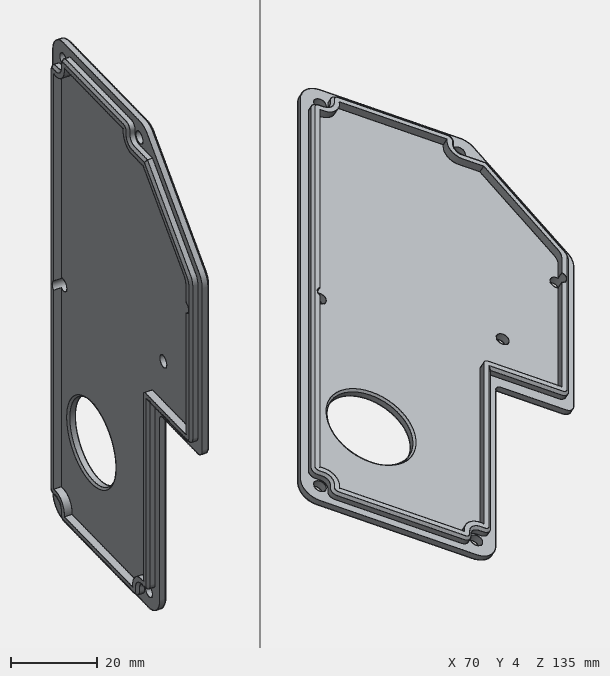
import cadquery as cq
import math

WIDTH = 70.0
HEIGHT = 135.0
THICKNESS = 4.0

FLANGE_THICKNESS = 2.0
BACK_CHAMFER = 0.5
CORNER_RADIUS = 5.0
STEP_X = 50.1
STEP_Z = 57.8
STEP_OUTER_RADIUS = 2.0
STEP_INNER_RADIUS = 1.4

DIAGONAL_TOP_X = 42.9
DIAGONAL_RIGHT_Z = HEIGHT - (WIDTH - DIAGONAL_TOP_X)

LIP_INSET = 2.0
LIP_STEP_INSET = 2.8
LIP_WIDTH = 2.0
LIP_CHAMFER = 0.7
LIP_CORNER_RADIUS = 1.8
LIP_DIAGONAL_RADIUS = 3.4
POCKET_STEP_RADIUS = 1.1

SCREW_DIAMETER = 3.2
SCREW_INSET = 5.0
SCREW_END_INSET = 4.7
UPPER_RIGHT_SCREW_X = 40.6
NOTCH_RADIUS = 2.0
LEFT_SCREW_Z = 66.4
RIGHT_SCREW_INSET = 4.5
RIGHT_SCREW_Z = 98.5
INNER_SCREW = (51.8, 73.8)
WINDOW_DIAMETER = 22.0
WINDOW_CENTER = (18.1, 30.0)
WINDOW_CHAMFER = 0.5

CORNER_SCREWS = [
    (SCREW_INSET, SCREW_END_INSET),
    (STEP_X - SCREW_INSET, SCREW_END_INSET),
    (SCREW_INSET, HEIGHT - SCREW_END_INSET),
    (UPPER_RIGHT_SCREW_X, HEIGHT - SCREW_END_INSET),
]
EDGE_SCREWS = [(SCREW_INSET, LEFT_SCREW_Z), (WIDTH - RIGHT_SCREW_INSET, RIGHT_SCREW_Z)]


def rounded_prism(corners, back_y, depth):
    """Extrude a polygon of (x, z, radius) corners from back_y toward -Y."""
    points = [cq.Vector(x, z) for x, z, _ in corners]
    path = cq.Workplane("XZ", origin=(0, back_y, 0))
    for i, (_, _, radius) in enumerate(corners):
        corner = points[i]
        to_previous = (points[i - 1] - corner).normalized()
        to_next = (points[(i + 1) % len(points)] - corner).normalized()
        half_angle = to_previous.getAngle(to_next) / 2
        tangent = radius / math.tan(half_angle)
        start = corner + to_previous * tangent
        path = path.lineTo(start.x, start.y) if i else path.moveTo(start.x, start.y)
        if radius > 0:
            bisector = (to_previous + to_next).normalized()
            middle = corner + bisector * (radius / math.sin(half_angle) - radius)
            end = corner + to_next * tangent
            path = path.threePointArc((middle.x, middle.y), (end.x, end.y))
    return path.close().extrude(depth)


def flange():
    corners = [
        (0, 0, CORNER_RADIUS),
        (STEP_X, 0, CORNER_RADIUS),
        (STEP_X, STEP_Z, STEP_INNER_RADIUS),
        (WIDTH, STEP_Z, STEP_OUTER_RADIUS),
        (WIDTH, DIAGONAL_RIGHT_Z, CORNER_RADIUS),
        (DIAGONAL_TOP_X, HEIGHT, CORNER_RADIUS),
        (0, HEIGHT, CORNER_RADIUS),
    ]
    plate = rounded_prism(corners, THICKNESS, FLANGE_THICKNESS)
    return plate.faces(">Y").chamfer(BACK_CHAMFER)


def lip_corners(offset, step_radius):
    """Lip outline moved inward by offset, notched around the corner screws."""
    inset = LIP_INSET + offset
    left = bottom = inset
    top = HEIGHT - inset
    right = WIDTH - inset
    step_x = STEP_X - inset
    step_z = STEP_Z + LIP_STEP_INSET + offset
    diagonal_sum = DIAGONAL_TOP_X + HEIGHT - inset * math.sqrt(2)

    notch = NOTCH_RADIUS + offset
    notch_left = SCREW_INSET + notch
    notch_right = STEP_X - SCREW_INSET - notch
    notch_upper_right = UPPER_RIGHT_SCREW_X - notch
    notch_bottom = SCREW_END_INSET + notch
    notch_top = HEIGHT - SCREW_END_INSET - notch
    convex = max(LIP_CORNER_RADIUS - offset, 0)

    return [
        (left, notch_bottom, convex),
        (notch_left, notch_bottom, notch),
        (notch_left, bottom, convex),
        (notch_right, bottom, convex),
        (notch_right, notch_bottom, notch),
        (step_x, notch_bottom, convex),
        (step_x, step_z, step_radius),
        (right, step_z, convex),
        (right, diagonal_sum - right, LIP_DIAGONAL_RADIUS),
        (diagonal_sum - notch_top, notch_top, 0),
        (notch_upper_right, notch_top, notch),
        (notch_upper_right, top, convex),
        (notch_left, top, convex),
        (notch_left, notch_top, notch),
        (left, notch_top, convex),
    ]


def lip():
    height = THICKNESS - FLANGE_THICKNESS
    outer = rounded_prism(lip_corners(0, 0), height, height)
    outer = outer.faces("<Y").chamfer(LIP_CHAMFER)
    pocket = rounded_prism(lip_corners(LIP_WIDTH, POCKET_STEP_RADIUS), height, height)
    return outer.cut(pocket)


def through_holes(centers, diameter):
    return (
        cq.Workplane("XZ", origin=(0, THICKNESS, 0))
        .pushPoints(centers)
        .circle(diameter / 2)
        .extrude(THICKNESS)
    )


def window():
    """Round opening with a chamfer where it meets the pocket floor."""
    floor_y = THICKNESS - FLANGE_THICKNESS
    countersink = cq.Solid.makeCone(
        WINDOW_DIAMETER / 2 + WINDOW_CHAMFER,
        WINDOW_DIAMETER / 2,
        WINDOW_CHAMFER,
        pnt=cq.Vector(WINDOW_CENTER[0], floor_y, WINDOW_CENTER[1]),
        dir=cq.Vector(0, 1, 0),
    )
    return through_holes([WINDOW_CENTER], WINDOW_DIAMETER).union(cq.Workplane(countersink))


screw_holes = through_holes(CORNER_SCREWS + EDGE_SCREWS + [INNER_SCREW], SCREW_DIAMETER)
result = flange().union(lip()).cut(screw_holes).cut(window())